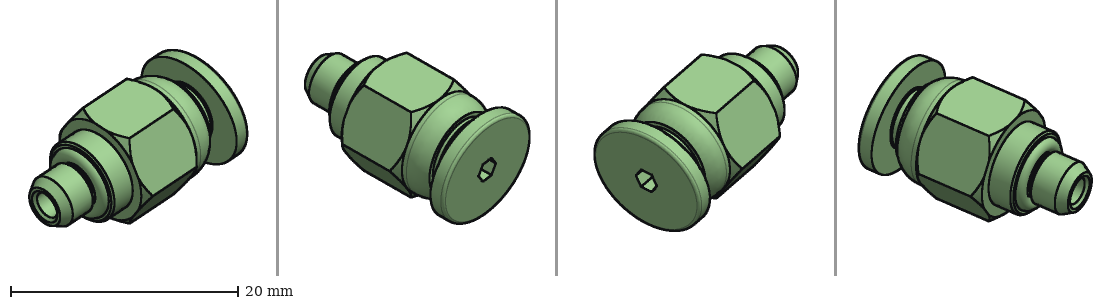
import cadquery as cq
import math

TOTAL_LENGTH = 19.6

THREAD_RADIUS = 5.0 / 2
TIP_CHAMFER_LENGTH = 1.0
TIP_CHAMFER_ANGLE = math.radians(30)
TIP_RADIUS = THREAD_RADIUS - TIP_CHAMFER_LENGTH * math.tan(TIP_CHAMFER_ANGLE)
THREAD_END = 3.5
UNDERCUT_RADIUS = 4.2 / 2
UNDERCUT_START = THREAD_END + THREAD_RADIUS - UNDERCUT_RADIUS

SHOULDER_RADIUS = 8.0 / 2
SHOULDER_START = 4.5
SHOULDER_CHAMFER = 0.2
SEAL_OUTER_RADIUS = 3.49
SEAL_SECTION_RADIUS = (SEAL_OUTER_RADIUS - UNDERCUT_RADIUS) / 2
SEAL_CENTER_RADIUS = (SEAL_OUTER_RADIUS + UNDERCUT_RADIUS) / 2

HEX_START = 7.0
HEX_LENGTH = 7.0
HEX_END = HEX_START + HEX_LENGTH
HEX_FLATS = 10.0
HEX_CORNER_RADIUS = HEX_FLATS / 2 / math.cos(math.pi / 6)
HEX_FRONT_FACE_RADIUS = 5.05
HEX_REAR_FACE_RADIUS = HEX_FLATS / 2

CAP_RADIUS = HEX_FLATS / 2
DOME_START = 14.5
DOME_END = 16.5
DOME_END_RADIUS = 4.2
COLLAR_RADIUS = 7.5 / 2
COLLAR_END = 16.95
NECK_RADIUS = 5.6 / 2
NECK_FLARE = 0.12

FLANGE_WIDTH = 11.8
FLANGE_HEIGHT = 10.3
FLANGE_THICKNESS = 1.5
FLANGE_START = TOTAL_LENGTH - FLANGE_THICKNESS
FLANGE_ROUNDING = 0.3

BORE_RADIUS = 2.5 / 2
MOUTH_CHAMFER = 0.31
BORE_DEPTH = 4.5
SOCKET_FLATS = 2.0
SOCKET_CORNER_DIAMETER = SOCKET_FLATS / math.cos(math.pi / 6)


def section_at(y):
    """Sketch plane across the axis, with its normal along +Y."""
    plane = cq.Plane(origin=(0, y, 0), xDir=(1, 0, 0), normal=(0, 1, 0))
    return cq.Workplane(plane)


def revolve_about_y(outline):
    return outline.close().revolve(360, (0, 0, 0), (0, 1, 0))


def make_turned_body():
    """Everything round from the tip to the flange, as one profile."""
    outline = (
        cq.Workplane("XY")
        .lineTo(TIP_RADIUS, 0)
        .lineTo(THREAD_RADIUS, TIP_CHAMFER_LENGTH)
        .lineTo(THREAD_RADIUS, THREAD_END)
        .lineTo(UNDERCUT_RADIUS, UNDERCUT_START)
        .lineTo(UNDERCUT_RADIUS, SHOULDER_START)
        .lineTo(SHOULDER_RADIUS - SHOULDER_CHAMFER, SHOULDER_START)
        .lineTo(SHOULDER_RADIUS, SHOULDER_START + SHOULDER_CHAMFER)
        .lineTo(SHOULDER_RADIUS, HEX_END)
        .lineTo(CAP_RADIUS, HEX_END)
        .lineTo(CAP_RADIUS, DOME_START)
        .tangentArcPoint((DOME_END_RADIUS, DOME_END), relative=False)
        .lineTo(COLLAR_RADIUS, DOME_END)
        .lineTo(COLLAR_RADIUS, COLLAR_END)
        .lineTo(NECK_RADIUS, COLLAR_END)
        .lineTo(NECK_RADIUS, FLANGE_START - NECK_FLARE)
        .lineTo(NECK_RADIUS + NECK_FLARE, FLANGE_START)
        .lineTo(0, FLANGE_START)
    )
    return revolve_about_y(outline)


def make_seal():
    """Sealing ring seated around the undercut, half sunk into the shoulder."""
    section = cq.Workplane("XY").center(SEAL_CENTER_RADIUS, SHOULDER_START).circle(SEAL_SECTION_RADIUS)
    return section.revolve(360, (-SEAL_CENTER_RADIUS, 0, 0), (-SEAL_CENTER_RADIUS, 1, 0))


def make_hex():
    """Hexagon with corners on X, its ends turned to 45-degree cones."""
    prism = section_at(HEX_START).polygon(6, 2 * HEX_CORNER_RADIUS).extrude(HEX_LENGTH)
    front_chamfer = HEX_CORNER_RADIUS - HEX_FRONT_FACE_RADIUS
    rear_chamfer = HEX_CORNER_RADIUS - HEX_REAR_FACE_RADIUS
    envelope = (
        cq.Workplane("XY")
        .moveTo(0, HEX_START)
        .lineTo(HEX_FRONT_FACE_RADIUS, HEX_START)
        .lineTo(HEX_CORNER_RADIUS, HEX_START + front_chamfer)
        .lineTo(HEX_CORNER_RADIUS, HEX_END - rear_chamfer)
        .lineTo(HEX_REAR_FACE_RADIUS, HEX_END)
        .lineTo(0, HEX_END)
    )
    return prism.intersect(revolve_about_y(envelope))


def make_flange():
    flange = section_at(FLANGE_START).ellipse(FLANGE_WIDTH / 2, FLANGE_HEIGHT / 2).extrude(FLANGE_THICKNESS)
    return flange.faces(">Y").edges().fillet(FLANGE_ROUNDING)


def make_passage():
    """Countersunk bore from the tip, continuing as a hexagonal hole."""
    bore = revolve_about_y(
        cq.Workplane("XY")
        .lineTo(BORE_RADIUS + MOUTH_CHAMFER, 0)
        .lineTo(BORE_RADIUS, MOUTH_CHAMFER)
        .lineTo(BORE_RADIUS, BORE_DEPTH)
        .lineTo(0, BORE_DEPTH)
    )
    socket = section_at(0).polygon(6, SOCKET_CORNER_DIAMETER).extrude(TOTAL_LENGTH)
    return bore.union(socket)


result = make_turned_body().union(make_seal()).union(make_hex()).union(make_flange()).cut(make_passage())